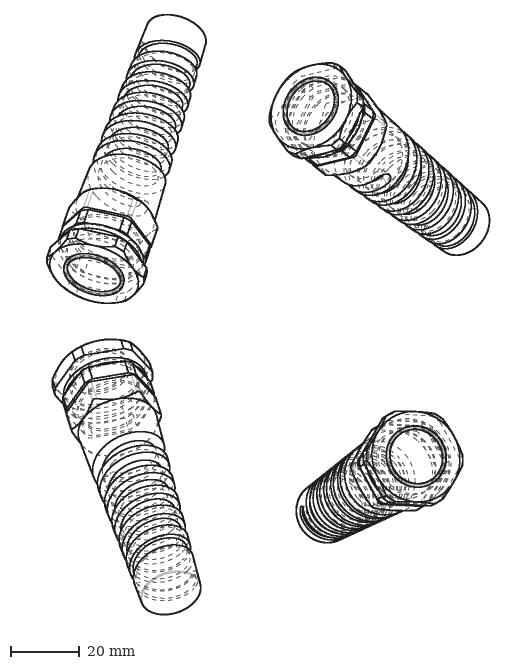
import cadquery as cq
import math


total_length = 92.0
lock_nut_start = 0.8
lock_nut_end = 5.7
flange_start = 7.5
body_hex_start = 9.3
body_hex_end = 14.2
dome_nut_start = 15.0
dome_nut_end = 23.5

lock_nut_flats = 26.7
lock_nut_corners = 29.2
body_flats = 23.9
body_corners = 26.2
dome_nut_flats = 23.55
dome_nut_corner_radius = 1.4
corner_bevel_angle = 45.0

thread_diameter = 20.0
flange_diameter = 25.0
rim_diameter = 18.0
recess_diameter = 16.1
recess_depth = 0.8
rim_rounding = 0.23

sleeve_base_diameter = dome_nut_flats
sleeve_tip_diameter = 17.9
tip_rounding = 0.3
core_diameter = 17.0
groove_pitch = 8.0
groove_floor_width = 3.5
groove_wall_angle = 20.0
groove_start_height = 35.3
groove_start_angle = 66.0
groove_sweep_angle = 2263.0

groove_rise = groove_pitch * groove_sweep_angle / 360

cutter_overlap = 0.9
cutter_inner_radius = core_diameter / 2 - cutter_overlap
cutter_outer_radius = sleeve_base_diameter / 2 + cutter_overlap


def disc(diameter, start, end):
    """Cylinder on the axis between two heights."""
    return cq.Workplane("XY").workplane(offset=start).circle(diameter / 2).extrude(end - start)


def hexagon(flats, start, end):
    """Hexagonal prism with corners on X and flats on Y."""
    corner_diameter = flats / math.cos(math.radians(30))
    return cq.Workplane("XY").workplane(offset=start).polygon(6, corner_diameter).extrude(end - start)


def bevel_envelope(flats, face, far):
    """Solid that bevels a hexagon's corners at one face, outward from the circle inside its flats."""
    inner = flats / 2
    outer = inner + abs(far - face) / math.tan(math.radians(corner_bevel_angle))
    outline = [(0, face), (inner, face), (outer, far), (0, far)]
    return cq.Workplane("XZ").polyline(outline).close().revolve(360, (0, 0, 0), (0, 1, 0))


def lock_nut():
    """Lock nut with turned corners and a beveled outer face."""
    nut = hexagon(lock_nut_flats, lock_nut_start, lock_nut_end)
    nut = nut.intersect(disc(lock_nut_corners, lock_nut_start, lock_nut_end))
    return nut.intersect(bevel_envelope(lock_nut_flats, lock_nut_start, lock_nut_end))


def body():
    """Thread, end rim, sealing flange and wrench hexagon."""
    thread = disc(thread_diameter, lock_nut_start, dome_nut_end)
    rim = disc(rim_diameter, 0, lock_nut_end)
    flange = disc(flange_diameter, flange_start, body_hex_start)
    wrench_hex = hexagon(body_flats, body_hex_start, body_hex_end)
    wrench_hex = wrench_hex.intersect(disc(body_corners, body_hex_start, body_hex_end))
    return thread.union(rim).union(flange).union(wrench_hex)


def dome_nut():
    """Hexagonal dome nut with rounded corners, beveled towards the sleeve."""
    nut = hexagon(dome_nut_flats, dome_nut_start, dome_nut_end)
    nut = nut.edges("|Z").fillet(dome_nut_corner_radius)
    return nut.intersect(bevel_envelope(dome_nut_flats, dome_nut_end, dome_nut_start))


def groove_half_width(radius):
    """Half width of the groove at a distance from the axis."""
    return groove_floor_width / 2 + (radius - core_diameter / 2) * math.tan(math.radians(groove_wall_angle))


def groove_end(height, angle):
    """Radial cone that rounds off the groove where it runs out."""
    cone = cq.Solid.makeCone(
        groove_half_width(cutter_inner_radius),
        groove_half_width(cutter_outer_radius),
        cutter_outer_radius - cutter_inner_radius,
        cq.Vector(cutter_inner_radius, 0, height),
        cq.Vector(1, 0, 0),
    )
    return cq.Workplane(obj=cone).rotate((0, 0, 0), (0, 0, 1), angle)


def groove_run():
    """Helical cutter with a trapezoid section, reaching below the groove floor."""
    helix = cq.Wire.makeHelix(groove_pitch, groove_rise, core_diameter / 2)
    inner = groove_half_width(cutter_inner_radius)
    outer = groove_half_width(cutter_outer_radius)
    section = cq.Workplane("XZ").polyline([
        (cutter_inner_radius, -inner),
        (cutter_outer_radius, -outer),
        (cutter_outer_radius, outer),
        (cutter_inner_radius, inner),
    ]).close()
    run = section.sweep(cq.Workplane(obj=helix), isFrenet=True)
    return run.rotate((0, 0, 0), (0, 0, 1), groove_start_angle).translate((0, 0, groove_start_height))


def sleeve():
    """Tapered sleeve, grooved down to a cylindrical core."""
    outline = [
        (0, dome_nut_end),
        (sleeve_base_diameter / 2, dome_nut_end),
        (sleeve_tip_diameter / 2, total_length),
        (0, total_length),
    ]
    taper = cq.Workplane("XZ").polyline(outline).close().revolve(360, (0, 0, 0), (0, 1, 0))
    taper = taper.faces(">Z").edges().fillet(tip_rounding)
    groove_stop_height = groove_start_height + groove_rise
    groove_stop_angle = groove_start_angle + groove_sweep_angle
    taper = taper.cut(groove_run())
    taper = taper.cut(groove_end(groove_start_height, groove_start_angle))
    taper = taper.cut(groove_end(groove_stop_height, groove_stop_angle))
    core = disc(core_diameter, dome_nut_end, total_length - tip_rounding)
    return taper.union(core)


gland = body().union(lock_nut()).union(dome_nut()).union(sleeve())
gland = gland.cut(disc(recess_diameter, 0, recess_depth))
gland = gland.faces("<Z").edges().fillet(rim_rounding)
result = gland.rotate((0, 0, 0), (1, 0, 0), -90)